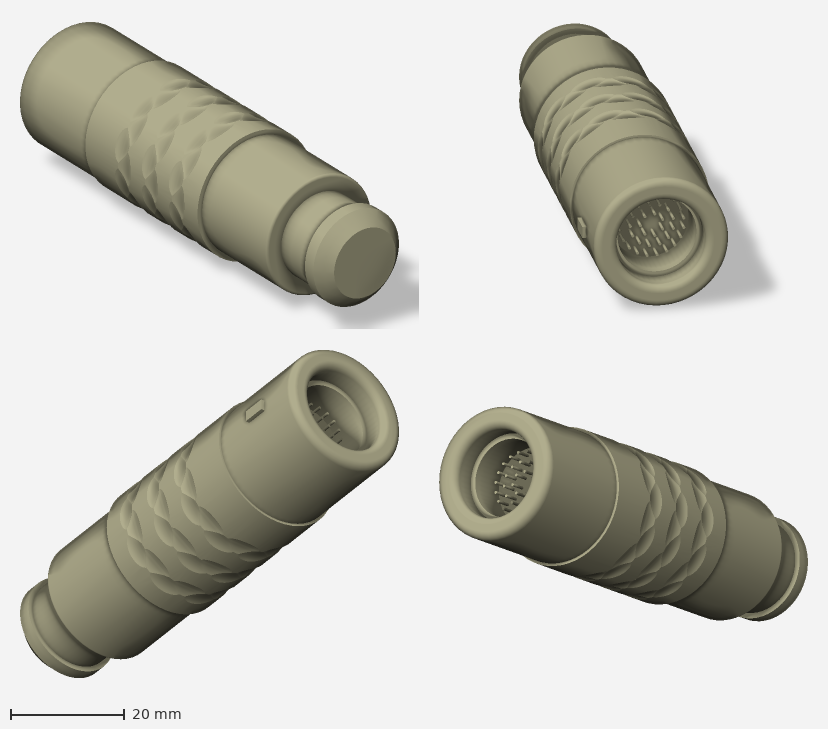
import cadquery as cq

length = 87.0
nose_radius = 12.0
sleeve_diameter = 25.0
sleeve_radius = sleeve_diameter / 2
sleeve_start, sleeve_end = 21.0, 54.3
rear_end, rear_radius, rear_edge_fillet = 73.5, 11.5, 0.5
neck_radius = 8.35
flange_start, flange_radius, flange_chamfer = 81.9, 9.3, 2.6

mouth_radius = 8.0
rim_fillet = 1.3
ledge_depth = 4.9
socket_radius = 7.05
socket_depth = 12.2

pin_diameter = 0.5
pin_length = 3.0
pin_rings = [(20, 5.7, 9.0), (13, 3.9, 0.0), (7, 2.1, 0.0)]

key_start, key_end = 8.0, 12.6
key_width = 2.1
overall_width = 25.2
key_top = overall_width - sleeve_radius

band_count = 3
first_band, band_pitch = 31.8, 8.0
ring_spacing = 1.4
scallops_per_ring = 10
scallop_depth = 0.47
scallop_half_width = 1.8
scallop_span = 7.8


def disc(start, end, radius):
    """Cylinder along X from start to end."""
    return cq.Workplane("YZ", origin=(start, 0, 0)).circle(radius).extrude(end - start)


def make_body():
    nose = disc(0, sleeve_start, nose_radius).faces("<X").edges().fillet(rim_fillet)
    sleeve = disc(sleeve_start, sleeve_end, sleeve_radius)
    rear = disc(sleeve_end, rear_end, rear_radius).faces(">X").edges().fillet(rear_edge_fillet)
    neck = disc(rear_end, flange_start, neck_radius)
    flange = disc(flange_start, length, flange_radius).faces(">X").edges().chamfer(flange_chamfer)
    return nose.union(sleeve).union(rear).union(neck).union(flange)


def cut_socket(body):
    body = body.cut(disc(0, ledge_depth, mouth_radius))
    mouth_edge = body.faces("<X").edges(cq.selectors.RadiusNthSelector(0))
    body = mouth_edge.fillet(rim_fillet)
    return body.cut(disc(ledge_depth, socket_depth, socket_radius))


def add_pins(body):
    for count, ring_radius, first_angle in pin_rings:
        pins = (
            cq.Workplane("YZ", origin=(socket_depth, 0, 0))
            .polarArray(ring_radius, first_angle, 360, count)
            .circle(pin_diameter / 2)
            .extrude(-pin_length)
        )
        body = body.union(pins)
    return body


def add_key(body):
    key_root = (mouth_radius + nose_radius) / 2
    key = cq.Workplane("XY").box(
        key_end - key_start, key_top - key_root, key_width, centered=(False, False, True)
    )
    return body.union(key.translate((key_start, key_root, 0)))


def scallop_cutter(x, angle):
    """Cylinder lying tangent to the sleeve, turned about the X axis by angle."""
    radius = (scallop_half_width**2 + scallop_depth**2) / (2 * scallop_depth)
    center = sleeve_radius - scallop_depth + radius
    cutter = (
        cq.Workplane("XZ", origin=(x, -scallop_span / 2, center))
        .circle(radius)
        .extrude(-scallop_span)
    )
    return cutter.rotate((0, 0, 0), (1, 0, 0), angle).val()


def cut_grip(body):
    pitch = 360 / scallops_per_ring
    cutters = []
    for band in range(band_count):
        band_x = first_band + band * band_pitch
        for i in range(scallops_per_ring):
            cutters.append(scallop_cutter(band_x - ring_spacing / 2, i * pitch))
            cutters.append(scallop_cutter(band_x + ring_spacing / 2, (i + 0.5) * pitch))
    return cq.Workplane(body.val().cut(*cutters))


result = cut_grip(add_key(add_pins(cut_socket(make_body()))))